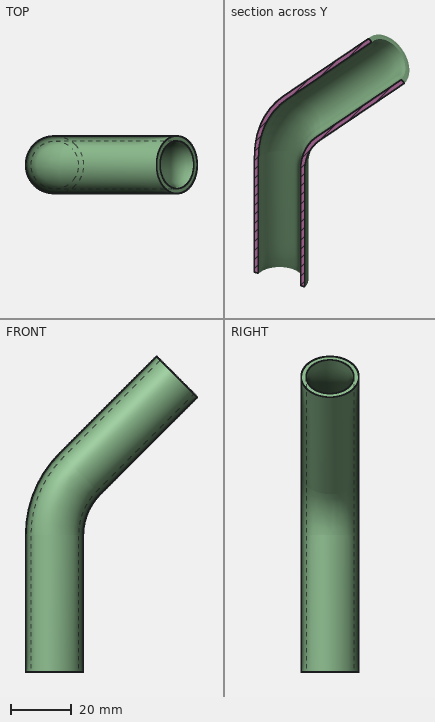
import cadquery as cq
import math

overall_height = 104.4
outer_diameter = 19.1
inner_diameter = 15.8
bend_angle = 45.0
bend_radius = 1.5 * outer_diameter

bend_sin = math.sin(math.radians(bend_angle))
bend_cos = math.cos(math.radians(bend_angle))

rim_rise = outer_diameter / 2 * bend_sin
leg_length = (overall_height - bend_radius * bend_sin - rim_rise) / (1 + bend_cos)


def bend_point(angle):
    """Point on the centreline arc after turning by the given angle in degrees."""
    turn = math.radians(angle)
    x = bend_radius * (1 - math.cos(turn))
    z = leg_length + bend_radius * math.sin(turn)
    return x, z


bend_end = bend_point(bend_angle)
tube_end = (bend_end[0] + leg_length * bend_sin, bend_end[1] + leg_length * bend_cos)
centreline = (
    cq.Workplane("XZ")
    .lineTo(0, leg_length)
    .threePointArc(bend_point(bend_angle / 2), bend_end)
    .lineTo(*tube_end)
)

result = (
    cq.Workplane("XY")
    .circle(outer_diameter / 2)
    .circle(inner_diameter / 2)
    .sweep(centreline)
)